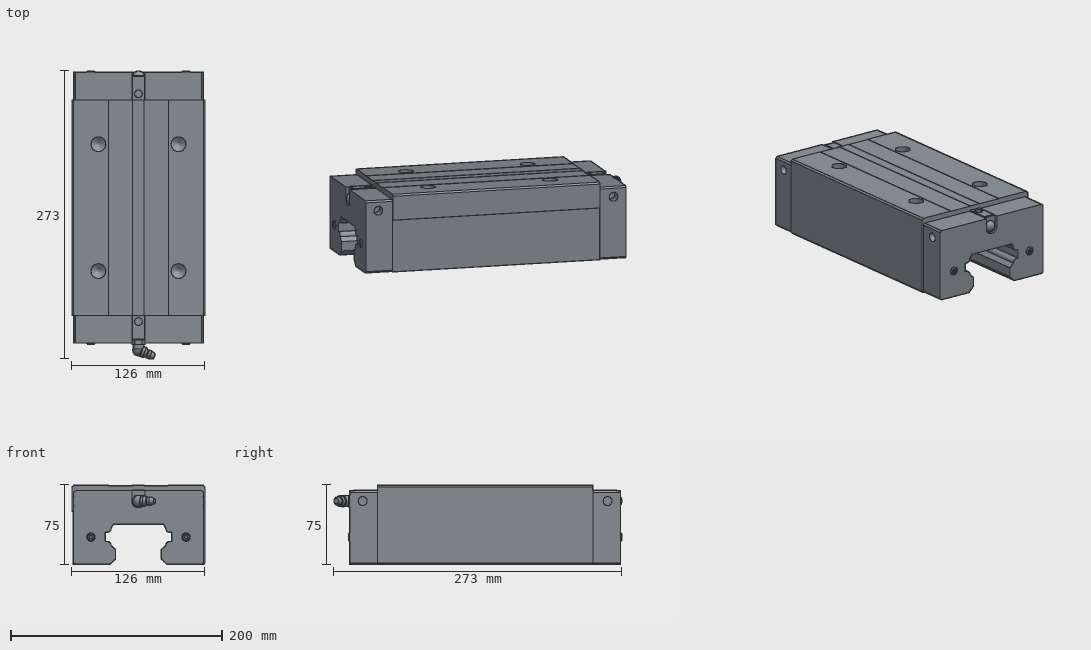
import cadquery as cq
import math

overall_length = 273.0

block_width = 126.0
block_length = 204.1
block_height = 75.0
block_edge_chamfer = 1.6
skirt_inset = 0.8
skirt_height = 50.2

channel_width = 56.8
channel_depth = 0.3
rib_width = 11.0

mount_hole_diameter = 14.0
mount_hole_depth = 19.0
drill_point_angle = 118
mount_pitch_x = 76.0
mount_pitch_y = 120.0

cap_width = 122.8
cap_height = 70.0
cap_edge_chamfer = 1.6
cap_end = 128.3
strip_width = 12.3
strip_height = 0.8
strip_edge_chamfer = 0.5
strip_end = 124.2
port_diameter = 7.5
port_depth = 0.5
port_y = 107.8
side_hole_diameter = 8.5
side_hole_depth = 11.0
side_hole_y = 116.0

grease_z = 60.0
notch_width = 12.5
notch_depth = 3.0
hex_corner_diameter = 12.5
hex_length = 4.5
elbow_radius = 5.5
stem_radius = 5.32
nipple_angle = 22
core_radius = 4.0
collar_radius = 5.2
collar_start = 3.3
collar_end = 6.0
neck_radius = 3.5
neck_start = 8.7
neck_end = 9.5
head_radius = 4.0
head_end = 12.3
tip_radius = 2.5
tip_end = 16.5

fastener_projection = 1.5
plug_radius = 5.7
screw_x = 45.0
screw_z = 26.0
screw_radius = 3.95
screw_rim_chamfer = 1.0
socket_corner_diameter = 3.0
socket_depth = 1.0

tilt = math.radians(nipple_angle)
tip_y = cap_end + fastener_projection - overall_length
elbow_y = tip_y + tip_end * math.sin(tilt) + tip_radius * math.cos(tilt)

opening_mouth = 27.0
opening_throat = 21.5
mouth_chamfer_top = 5.2
throat_top = 14.2
opening_pocket = 31.5
opening_roof = 23.7
roof_z = 38.0
race_x = 29.7
race_radius = 3.95
lower_race_z = 18.0
upper_race_z = 34.5


def make_block():
    half = block_width / 2
    plus_x_side = [
        (half - block_edge_chamfer, 0),
        (half, block_edge_chamfer),
        (half, block_height - block_edge_chamfer),
        (half - block_edge_chamfer, block_height),
    ]
    minus_x_side = [
        (block_edge_chamfer - half, block_height),
        (-half, block_height - block_edge_chamfer),
        (-half, skirt_height),
        (skirt_inset - half, skirt_height),
        (skirt_inset - half, 0),
    ]
    body = (
        cq.Workplane("XZ").polyline(plus_x_side + minus_x_side).close()
        .extrude(block_length / 2, both=True)
    )
    floor = cq.Workplane("XY", origin=(0, 0, block_height - channel_depth))
    channel = floor.rect(channel_width, block_length).extrude(channel_depth)
    rib = floor.rect(rib_width, block_length).extrude(channel_depth)
    return body.cut(channel.cut(rib))


def make_mount_holes():
    radius = mount_hole_diameter / 2
    point_length = radius / math.tan(math.radians(drill_point_angle / 2))
    hole = (
        cq.Workplane("XZ")
        .polyline([
            (0, block_height),
            (radius, block_height),
            (radius, block_height - mount_hole_depth),
            (0, block_height - mount_hole_depth - point_length),
        ])
        .close()
        .revolve(360, (0, 0, 0), (0, 1, 0))
    )
    holes = cq.Workplane("XY")
    for x in (-mount_pitch_x / 2, mount_pitch_x / 2):
        for y in (-mount_pitch_y / 2, mount_pitch_y / 2):
            holes = holes.add(hole.translate((x, y, 0)))
    return holes.combine()


def make_front_cap():
    """End cap on the -Y side, with its port, side holes and face notch."""
    length = cap_end - block_length / 2
    cap = (
        cq.Workplane("XY", origin=(0, -cap_end + length / 2, 0))
        .box(cap_width, length, cap_height, centered=(True, True, False))
        .edges("|Y").chamfer(cap_edge_chamfer)
    )
    strip_length = strip_end - block_length / 2
    strip = (
        cq.Workplane("XY", origin=(0, -strip_end + strip_length / 2, cap_height))
        .box(strip_width, strip_length, strip_height, centered=(True, True, False))
        .faces(">Z").edges("|Y").chamfer(strip_edge_chamfer)
    )
    port = (
        cq.Workplane("XY", origin=(0, -port_y, cap_height + strip_height - port_depth))
        .circle(port_diameter / 2).extrude(port_depth)
    )
    cap = cap.union(strip).cut(port)
    for side in (-1, 1):
        side_hole = (
            cq.Workplane("YZ", origin=(side * cap_width / 2, -side_hole_y, grease_z))
            .circle(side_hole_diameter / 2).extrude(-side * side_hole_depth)
        )
        cap = cap.cut(side_hole)
    notch_half = notch_width / 2
    notch_rise = cap_height - grease_z
    notch = (
        cq.Workplane("XZ", origin=(0, notch_depth - cap_end, grease_z))
        .moveTo(-notch_half, notch_rise)
        .lineTo(-notch_half, 0)
        .threePointArc((0, -notch_half), (notch_half, 0))
        .lineTo(notch_half, notch_rise)
        .close().extrude(notch_depth)
    )
    return cap.cut(notch)


def make_rail_opening():
    diagonal = race_radius * math.sqrt(0.5)
    profile = (
        cq.Workplane("XZ")
        .moveTo(0, 0)
        .lineTo(opening_mouth, 0)
        .lineTo(opening_throat, mouth_chamfer_top)
        .lineTo(opening_throat, throat_top)
        .lineTo(race_x - race_radius, lower_race_z)
        .threePointArc(
            (race_x - diagonal, lower_race_z + diagonal),
            (race_x, lower_race_z + race_radius),
        )
        .lineTo(opening_pocket, lower_race_z + race_radius)
        .lineTo(opening_pocket, upper_race_z - race_radius)
        .lineTo(race_x, upper_race_z - race_radius)
        .threePointArc(
            (race_x - diagonal, upper_race_z - diagonal),
            (race_x - race_radius, upper_race_z),
        )
        .lineTo(opening_roof, roof_z)
        .lineTo(0, roof_z)
        .close()
    )
    half = profile.extrude(cap_end, both=True)
    return half.union(half.mirror("YZ"))


def make_nipple():
    base_y = notch_depth - cap_end
    base = (
        cq.Workplane("XZ", origin=(0, base_y, grease_z))
        .polygon(6, hex_corner_diameter).extrude(hex_length)
    )
    stem = (
        cq.Workplane("XZ", origin=(0, base_y, grease_z))
        .circle(stem_radius).extrude(base_y - elbow_y)
    )
    elbow = cq.Workplane("XY", origin=(0, elbow_y, grease_z)).sphere(elbow_radius)
    outlet = (
        cq.Workplane("XY")
        .polyline([
            (0, 0),
            (0, core_radius),
            (collar_start, core_radius),
            (collar_start, collar_radius),
            (collar_end, collar_radius),
            (neck_start, neck_radius),
            (neck_end, neck_radius),
            (neck_end, head_radius),
            (head_end, head_radius),
            (tip_end, tip_radius),
            (tip_end, 0),
        ])
        .close()
        .revolve(360, (0, 0, 0), (1, 0, 0))
        .rotate((0, 0, 0), (0, 0, 1), -nipple_angle)
        .translate((0, elbow_y, grease_z))
    )
    return base.union(stem).union(elbow).union(outlet)


def make_rear_plug():
    """Domed plug that closes the grease notch of the +Y cap."""
    height = notch_depth + fastener_projection
    sphere_radius = (plug_radius**2 + height**2) / (2 * height)
    base_y = cap_end - notch_depth
    sphere_y = base_y + height - sphere_radius
    sphere = cq.Workplane("XY", origin=(0, sphere_y, grease_z)).sphere(sphere_radius)
    dome_bounds = (
        cq.Workplane("XZ", origin=(0, base_y, grease_z))
        .circle(plug_radius).extrude(-height)
    )
    return sphere.intersect(dome_bounds)


def make_front_screw(x):
    face_y = -cap_end - fastener_projection
    head = (
        cq.Workplane("XZ", origin=(x, -cap_end, screw_z))
        .circle(screw_radius).extrude(fastener_projection)
        .faces("<Y").chamfer(screw_rim_chamfer)
    )
    socket = (
        cq.Workplane("XZ", origin=(x, face_y + socket_depth, screw_z))
        .polygon(6, socket_corner_diameter).extrude(socket_depth)
    )
    return head.cut(socket)


front_cap = make_front_cap()
result = make_block().union(front_cap).union(front_cap.mirror("XZ"))
result = result.cut(make_mount_holes()).cut(make_rail_opening())
result = result.union(make_nipple()).union(make_rear_plug())
for x in (-screw_x, screw_x):
    screw = make_front_screw(x)
    result = result.union(screw).union(screw.mirror("XZ"))